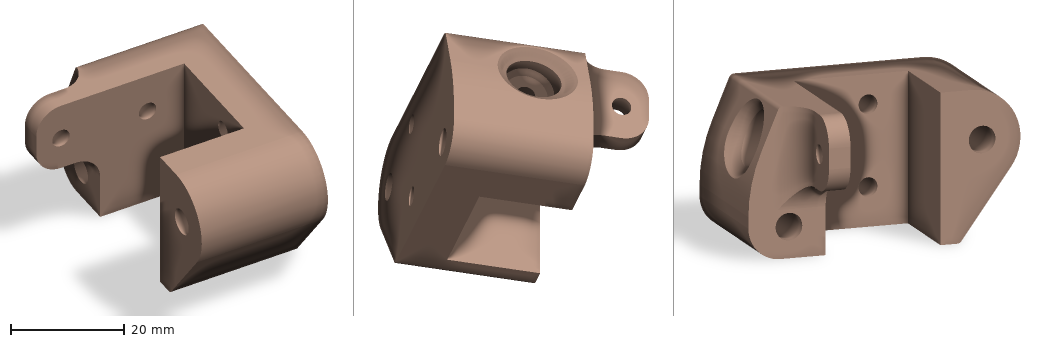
import cadquery as cq
import math

width = 50.95
depth = 25.55
height = 27.7

nose_radius = 9.15
nose_slope_angle = 36.1
heel_radius = 6.0
cheek_start_height = 8.1
cheek_end_height = 19.5
cheek_slope_angle = 23.0
small_corner_radius = 1.0

slot_left = 14.45
slot_right = 36.0
back_wall = 8.55

tab_thickness = 4.05
tab_reach = 12.95
tab_bottom = 13.9
tab_radius = 5.0
tab_hole_height = 20.55

screw_diameter = 3.5
pivot_diameter = 5.0
pivot_points = [(7.6, 5.75), (43.8, 18.55)]
back_hole_x = 28.5
back_hole_heights = (7.25, 22.25)

bore_y = 9.6
bore_z = 19.9
bore_mouth_diameter = 10.0
bore_floor_diameter = 8.05
bore_floor_x = slot_left - tab_thickness

sink_inner_x = 4.9
sink_inner_tilt = 23.0
sink_outer_x = 1.8
sink_outer_tilt = 19.0
sink_outer_diameter = 15.9


def y_cylinder(x, z, diameter, start, end):
    """Cylinder along Y from start to end."""
    return cq.Workplane("XZ", origin=(x, start, z)).circle(diameter / 2).extrude(start - end)


def make_block():
    """Side profile extruded through the full depth."""
    nose_x = width - nose_radius
    nose_z = height - nose_radius
    slope = math.radians(nose_slope_angle)
    nose_end_x = nose_x + nose_radius * math.cos(slope)
    nose_end_z = nose_z - nose_radius * math.sin(slope)
    toe_x = nose_end_x - nose_end_z * math.tan(slope)

    tilt = math.radians(cheek_slope_angle)
    cheek_radius = (cheek_end_height - cheek_start_height) / math.sin(tilt)
    cheek_end_x = cheek_radius * (1 - math.cos(tilt))
    cheek_mid_x = cheek_radius * (1 - math.cos(tilt / 2))
    cheek_mid_z = cheek_start_height + cheek_radius * math.sin(tilt / 2)
    brow_x = cheek_end_x + (height - cheek_end_height) * math.tan(tilt)

    heel_mid = heel_radius * (1 - math.sqrt(0.5))
    block = (
        cq.Workplane("XZ")
        .moveTo(heel_radius, 0)
        .lineTo(toe_x, 0)
        .lineTo(nose_end_x, nose_end_z)
        .threePointArc((width, nose_z), (nose_x, height))
        .lineTo(brow_x, height)
        .lineTo(cheek_end_x, cheek_end_height)
        .threePointArc((cheek_mid_x, cheek_mid_z), (0, cheek_start_height))
        .lineTo(0, heel_radius)
        .threePointArc((heel_mid, heel_mid), (heel_radius, 0))
        .close()
        .extrude(-depth)
    )
    for x, z in ((toe_x, 0), (brow_x, height)):
        corner = cq.selectors.NearestToPointSelector((x, depth / 2, z))
        block = block.edges(corner).fillet(small_corner_radius)
    return block


def sink_ring(x, tilt_angle, diameter):
    """Tilted ellipse centred on the bore axis."""
    tilt = math.radians(tilt_angle)
    plane = cq.Plane(
        origin=(x, bore_y, bore_z), xDir=(0, 1, 0), normal=(math.cos(tilt), 0, -math.sin(tilt))
    )
    ring = cq.Workplane(plane).ellipse(diameter / 2, diameter / 2 / math.cos(tilt))
    return ring.val()


def make_countersink():
    """Conical opening that follows the sloping cheek."""
    inner = sink_ring(sink_inner_x, sink_inner_tilt, bore_mouth_diameter)
    outer = sink_ring(sink_outer_x, sink_outer_tilt, sink_outer_diameter)
    return cq.Workplane(cq.Solid.makeLoft([outer, inner], True))


def cut_side_bore(block):
    """Countersunk bore with a chamfered floor and a screw hole through it."""
    floor_chamfer = (bore_mouth_diameter - bore_floor_diameter) / 2
    bore = (
        cq.Workplane("YZ", origin=(0, bore_y, bore_z))
        .circle(bore_mouth_diameter / 2)
        .extrude(bore_floor_x)
        .faces(">X")
        .chamfer(floor_chamfer)
    )
    block = block.cut(bore).cut(make_countersink())
    screw = cq.Workplane("YZ", origin=(0, bore_y, bore_z)).circle(screw_diameter / 2).extrude(slot_left)
    return block.cut(screw)


def make_tab(block):
    """Rounded tab with concave flares on its outer side and underside.

    The flares meet in a mitre, and the tab is kept within the block's profile.
    """
    tab_left = slot_left - tab_thickness
    root_left = tab_left - tab_radius
    root_bottom = tab_bottom - tab_radius
    overlap = 0.5
    sweep = tab_radius * math.sqrt(0.5)

    side = (
        cq.Workplane("YZ", origin=(root_left, 0, 0))
        .moveTo(overlap, root_bottom)
        .lineTo(0, root_bottom)
        .threePointArc((sweep - tab_radius, tab_bottom - tab_radius + sweep), (-tab_radius, tab_bottom))
        .lineTo(-tab_reach, tab_bottom)
        .lineTo(-tab_reach, height)
        .lineTo(overlap, height)
        .close()
        .extrude(slot_left - root_left)
    )
    side = side.edges("|X and <Y").fillet(tab_radius)
    plan = (
        cq.Workplane("XY")
        .moveTo(slot_left, overlap)
        .lineTo(slot_left, -tab_reach)
        .lineTo(tab_left, -tab_reach)
        .lineTo(tab_left, -tab_radius)
        .threePointArc((root_left + sweep, sweep - tab_radius), (root_left, 0))
        .lineTo(root_left, overlap)
        .close()
        .extrude(height)
    )
    hole = (
        cq.Workplane("YZ", origin=(tab_left, tab_radius - tab_reach, tab_hole_height))
        .circle(screw_diameter / 2)
        .extrude(tab_thickness)
    )
    profile_limit = block.translate((0, overlap - depth, 0))
    return side.intersect(plan).intersect(profile_limit).cut(hole)


block = make_block()
result = cut_side_bore(block).union(make_tab(block))

slot = cq.Workplane("XY").box(slot_right - slot_left, depth - back_wall, height, centered=False)
result = result.cut(slot.translate((slot_left, 0, 0)))

for x, z in pivot_points:
    result = result.cut(y_cylinder(x, z, pivot_diameter, 0, depth))

for z in back_hole_heights:
    result = result.cut(y_cylinder(back_hole_x, z, screw_diameter, depth - back_wall, depth))